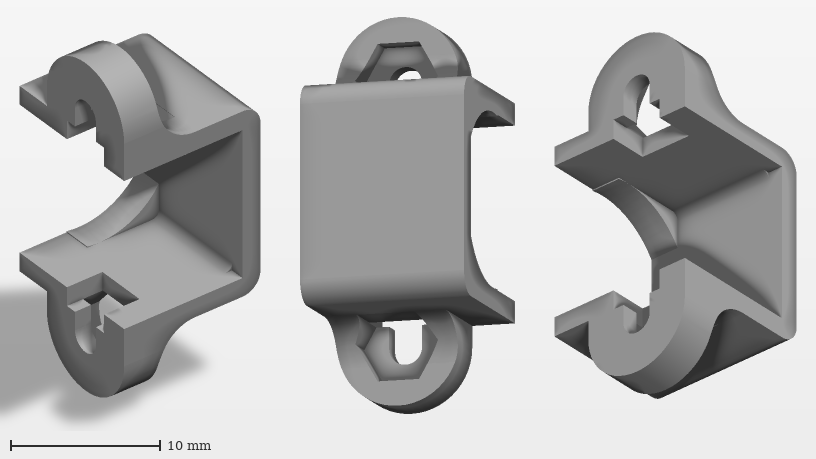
import cadquery as cq
import math

total_height = 26.5
width = 11.5
depth = 11.5
body_height = 15.0
wall = 1.5
outer_round = 1.5
half_height = total_height / 2
half_body = body_height / 2
half_cavity = half_body - wall
cavity_depth = depth - wall

lug_width = 8.5
lug_thickness = 3.0
lug_fillet = 3.0
lug_radius = lug_width / 2
lug_x = width - lug_radius
lug_z = half_height - lug_radius
lug_root_depth = lug_thickness + lug_fillet

slot_width = 2.3
nut_across_corners = 5.8
nut_seat_y = 1.35
nut_floor_sink = 0.03
notch_width = nut_across_corners - 2 * (lug_z - half_body) / math.tan(math.radians(60))

cradle_width = 2.3
cradle_front_y = 3.95
cradle_radius = 6.0
cradle_axis_y = 5.0

corner_radius = 0.55
corner_end_x = 10.34


def box(x_range, y_range, z_range):
    """Box spanning the given (low, high) range on each axis."""
    sizes = [high - low for low, high in (x_range, y_range, z_range)]
    corner = (x_range[0], y_range[0], z_range[0])
    return cq.Workplane("XY").box(*sizes, centered=False).translate(corner)


def y_plane(y):
    """XZ plane at the given Y; extruding a negative length goes toward +Y."""
    return cq.Workplane("XZ", origin=(0, y, 0))


def make_body():
    """Outer block with rounded back edges and an open cavity."""
    block = box((0, width), (0, depth), (-half_body, half_body))
    block = block.edges("|X and >Y").fillet(outer_round)
    return block.cut(box((0, width), (0, cavity_depth), (-half_cavity, half_cavity)))


def make_cradle():
    """Cavity filling along the -X edge, bored by a cylinder along X."""
    filling = box((0, cradle_width), (cradle_front_y, cavity_depth), (-half_cavity, half_cavity))
    bore = (
        cq.Workplane("YZ")
        .center(cradle_axis_y, 0)
        .circle(cradle_radius)
        .extrude(cradle_width)
    )
    return filling.cut(bore)


def make_corner_fillet():
    """Concave fillet strip in the upper inner corner of the cavity."""
    strip = box(
        (0, corner_end_x),
        (cavity_depth - corner_radius, cavity_depth),
        (half_cavity - corner_radius, half_cavity),
    )
    rounding = (
        cq.Workplane("YZ")
        .center(cavity_depth - corner_radius, half_cavity - corner_radius)
        .circle(corner_radius)
        .extrude(corner_end_x)
    )
    return strip.cut(rounding)


def make_lug():
    """Upper lug: round-ended plate with a concave fillet down to the body."""
    plate = (
        y_plane(0)
        .moveTo(lug_x - lug_radius, half_body)
        .lineTo(lug_x - lug_radius, lug_z)
        .threePointArc((lug_x, lug_z + lug_radius), (lug_x + lug_radius, lug_z))
        .lineTo(lug_x + lug_radius, half_body)
        .close()
        .extrude(-lug_root_depth)
    )
    behind_plate = box(
        (0, width), (lug_thickness, lug_root_depth), (half_body + lug_fillet, half_height)
    )
    fillet_hollow = (
        cq.Workplane("YZ")
        .center(lug_root_depth, half_body + lug_fillet)
        .circle(lug_fillet)
        .extrude(width)
    )
    return plate.cut(behind_plate).cut(fillet_hollow)


def make_lug_cuts():
    """Cuts of the upper lug: screw slot, nut pocket and notch in the wall."""
    half_slot = slot_width / 2
    slot = box(
        (lug_x - half_slot, lug_x + half_slot), (0, lug_thickness), (half_body, lug_z)
    ).union(y_plane(0).center(lug_x, lug_z).circle(half_slot).extrude(-lug_thickness))
    nut = y_plane(nut_seat_y).center(lug_x, lug_z).polygon(6, nut_across_corners)
    above_floor = box((0, width), (0, depth), (half_body - nut_floor_sink, half_height))
    nut_pocket = nut.extrude(nut_seat_y - lug_root_depth).intersect(above_floor)
    half_notch = notch_width / 2
    notch = box(
        (lug_x - half_notch, lug_x + half_notch), (0, lug_thickness), (half_cavity, half_body)
    )
    return slot.union(nut_pocket).union(notch)


def with_mirror(shape):
    """Add the copy of a shape mirrored across Z = 0."""
    return shape.union(shape.mirror("XY"))


result = (
    make_body()
    .union(make_cradle())
    .union(with_mirror(make_corner_fillet()))
    .union(with_mirror(make_lug()))
    .cut(with_mirror(make_lug_cuts()))
)